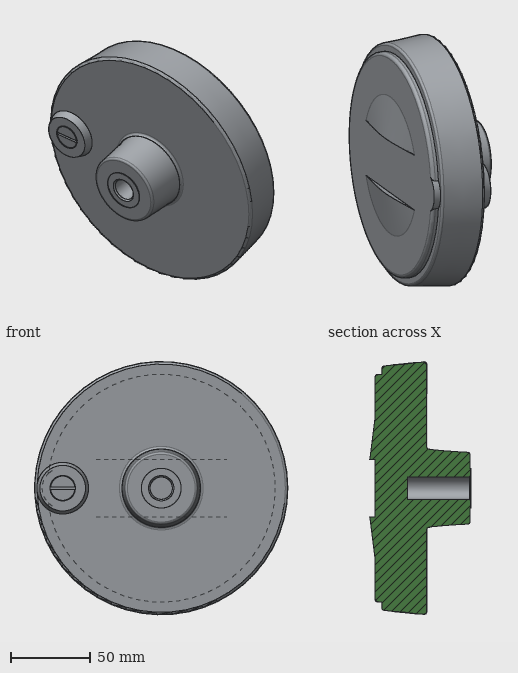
import cadquery as cq
import math


wheel_radius = 80.0
wheel_back_radius = 77.1
wheel_thickness = 28.4
wheel_edge_round = 1.6

rim_radius = 71.8
rim_back = 32.7
rim_round = 2.2
crown_base_radius = 45.0
crown_slot_width = 36.0
crown_height = 3.4

hub_length = 27.3
hub_root_radius = 24.7
hub_end_radius = 22.7
hub_root_round = 1.6
hub_end_round = 1.5
bushing_diameter = 25.0
bushing_protrusion = 0.5
bore_diameter = 14.0
bore_mouth_diameter = 16.0
bore_depth = 39.9

seat_x = -62.1
seat_height = 5.1
seat_root_radius = 16.3
seat_end_radius = 14.4
seat_back_radius = 13.0
screw_diameter = 16.0
screw_groove_depth = 0.3
screw_slot_width = 1.5
screw_slot_depth = 1.5


def revolve(points, x=0):
    """Revolve a closed (radius, y) outline around the Y direction through the given x."""
    outline = cq.Workplane("XY").polyline(points).close()
    return outline.revolve(360, (0, 0, 0), (0, 1, 0)).translate((x, 0, 0))


def cone(start_radius, end_radius, start_y, end_y, x=0):
    """Make a solid cone frustum or cylinder along Y."""
    return revolve([(0, start_y), (start_radius, start_y), (end_radius, end_y), (0, end_y)], x)


def make_wheel():
    wheel = cone(wheel_radius, wheel_back_radius, 0, wheel_thickness)
    wheel = wheel.edges().fillet(wheel_edge_round)
    rim = cone(rim_radius, rim_radius, 0, rim_back).faces(">Y").edges().fillet(rim_round)
    return wheel.union(rim)


def make_crown():
    """Cone with a straight slot along X that leaves a raised segment on each side."""
    slot_half = crown_slot_width / 2
    crown = cone(crown_base_radius, slot_half, rim_back, rim_back + crown_height)
    slot = cq.Workplane("XY").box(2 * crown_base_radius, 2 * crown_height, crown_slot_width)
    return crown.cut(slot.translate((0, rim_back + crown_height, 0)))


def make_hub():
    hub = cone(hub_root_radius, hub_end_radius, 0, -hub_length)
    hub = hub.faces("<Y").edges().fillet(hub_end_round)
    diagonal = hub_root_round * (1 - math.sqrt(0.5))
    root = (
        cq.Workplane("XY")
        .lineTo(hub_root_radius + hub_root_round, 0)
        .threePointArc(
            (hub_root_radius + diagonal, -diagonal),
            (hub_root_radius, -hub_root_round),
        )
        .lineTo(0, -hub_root_round)
        .close()
        .revolve(360, (0, 0, 0), (0, 1, 0))
    )
    bushing_radius = bushing_diameter / 2
    bushing = cone(bushing_radius, bushing_radius, 0, -hub_length - bushing_protrusion)
    return hub.union(root).union(bushing)


def make_bore():
    """Blind bore with a 45 degree chamfer at its mouth."""
    mouth_y = -hub_length - bushing_protrusion
    bore_radius = bore_diameter / 2
    mouth_radius = bore_mouth_diameter / 2
    bore = cone(bore_radius, bore_radius, mouth_y, mouth_y + bore_depth)
    chamfer = cone(mouth_radius, bore_radius, mouth_y, mouth_y + mouth_radius - bore_radius)
    return bore.union(chamfer)


def make_handle_seat():
    front = cone(seat_root_radius, seat_end_radius, 0, -seat_height, seat_x)
    back = cone(seat_back_radius, seat_back_radius, 0, rim_back, seat_x)
    return front.union(back)


def make_screw_cuts():
    """Fine groove around the screw head and the driver slot across it."""
    outer_radius = screw_diameter / 2
    inner_radius = outer_radius - screw_groove_depth
    floor_y = screw_groove_depth - seat_height
    groove = cone(outer_radius, outer_radius, -seat_height, floor_y, seat_x)
    groove = groove.cut(cone(inner_radius, inner_radius, -seat_height, floor_y, seat_x))
    slot = cq.Workplane("XY").box(screw_diameter, 2 * screw_slot_depth, screw_slot_width)
    slot = slot.translate((seat_x, -seat_height, 0))
    slot = slot.intersect(cone(outer_radius, outer_radius, -seat_height, 0, seat_x))
    return groove.union(slot)


result = make_wheel().union(make_crown()).union(make_hub()).union(make_handle_seat())
result = result.cut(make_bore()).cut(make_screw_cuts())